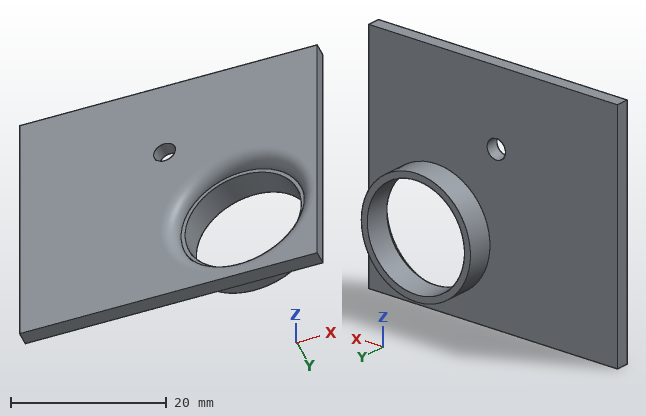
import cadquery as cq

plate_width = 41.0
plate_height = 37.0
plate_thickness = 2.0
total_depth = 6.0

collar_x = 30.0
collar_z = 11.52
collar_diameter = 18.0
bore_diameter = 16.0

mouth_radius = plate_thickness
throat_diameter = 17.1

pin_hole_x = 19.95
pin_hole_z = 25.25
pin_hole_diameter = 3.0


def cylinder_along_y(x, z, diameter, depth):
    """Cylinder from the front face (Y = 0) back to the given depth."""
    return (
        cq.Workplane("XZ", origin=(x, 0, z))
        .circle(diameter / 2)
        .extrude(-depth)
    )


def bore_mouth():
    """Flared recess whose convex wall rolls from the front face into the throat."""
    throat_radius = throat_diameter / 2
    front_radius = throat_radius + mouth_radius
    arc_offset = mouth_radius * (1 - 0.5**0.5)
    profile = (
        cq.Workplane("XY")
        .lineTo(front_radius, 0)
        .threePointArc(
            (throat_radius + arc_offset, arc_offset),
            (throat_radius, mouth_radius),
        )
        .lineTo(0, mouth_radius)
        .close()
    )
    return profile.revolve(360, (0, 0, 0), (0, 1, 0)).translate((collar_x, 0, collar_z))


plate = cq.Workplane("XY").box(plate_width, plate_thickness, plate_height, centered=False)
collar = cylinder_along_y(collar_x, collar_z, collar_diameter, total_depth)
bore = cylinder_along_y(collar_x, collar_z, bore_diameter, total_depth)
pin_hole = cylinder_along_y(pin_hole_x, pin_hole_z, pin_hole_diameter, plate_thickness)

result = plate.union(collar).cut(bore_mouth()).cut(bore).cut(pin_hole)